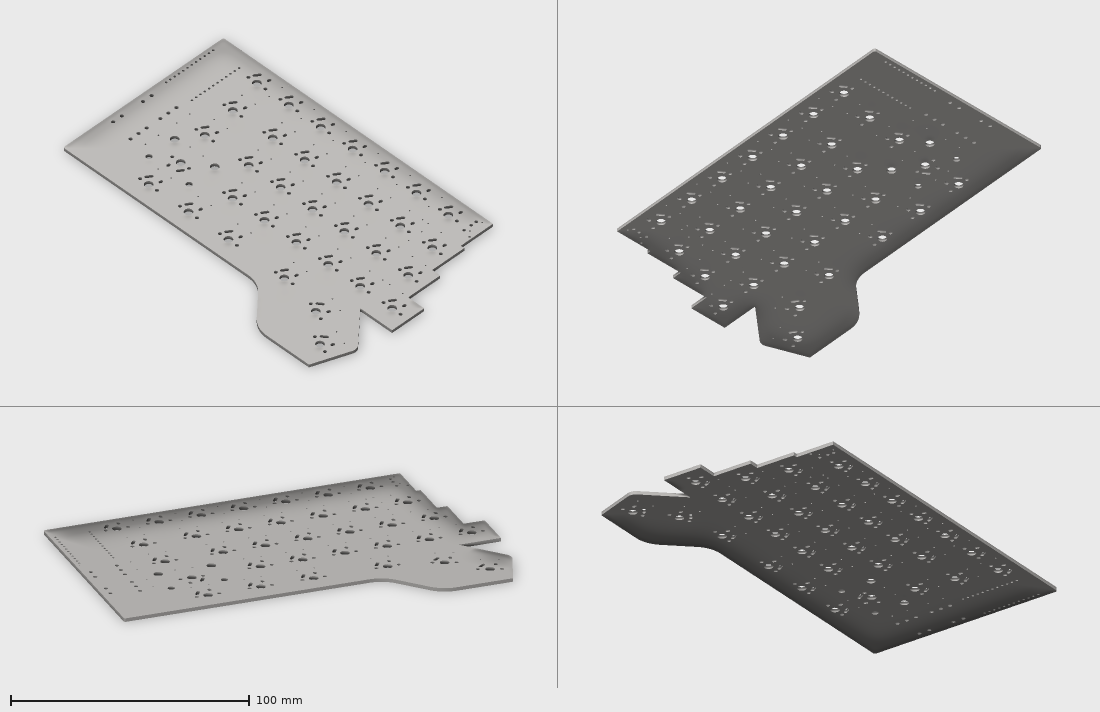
import cadquery as cq
import math


BOARD_WIDTH = 176.7
BOARD_DEPTH = 115.5
BOARD_THICKNESS = 1.6
NOTCH_ROWS = 4
NOTCH_DEPTH = 76.0
KEY_PITCH = NOTCH_DEPTH / NOTCH_ROWS
HALF_KEY = KEY_PITCH / 2
MAIN_DEPTH = NOTCH_DEPTH + KEY_PITCH
REAR_EDGE_RIGHT = 160.5
LEFT_CORNER_RADIUS = 0.9

NOTCH_X = 157.8
THUMB_TIP = (174.8, -94.4)
THUMB_TIP_RADIUS = 4.0
FRONT_SLOPE_REAR_X = 116.5
FRONT_SLOPE_FRONT_X = 135.5
FRONT_SLOPE_RADIUS = 14.1

KEY_COLUMNS = (
    (0, 1, 2, 3, 4, 5, 6),
    (0.25, 1.5, 2.5, 3.5, 4.5, 5.5, 6.5),
    (0.375, 1.75, 2.75, 3.75, 4.75, 5.75, 6.75),
    (2.25, 3.25, 4.25, 5.25, 6.25, 7.25),
    (0.625, 1.875, 3.125, 4.875),
)
WIDE_KEY_ROW = 3
WIDE_KEY_COLUMN = 0.625
WIDE_KEY_ANGLE = 180.0
LONGEST_ROW = 3
FIRST_COLUMN_X = BOARD_WIDTH - (KEY_COLUMNS[LONGEST_ROW][-1] + 0.5) * KEY_PITCH

THUMB_ANGLE = -20.0
THUMB_COLUMN = 6.125
THUMB_DROP = 5.0
THUMB_STAGGER = 6.9

STEM_DIAMETER = 4.0
PEG_DIAMETER = 1.7
PEG_SPACING = 10.0
SLOT_WIDTH = 1.5
LONG_SLOT_CENTER = (-3.4, 3.5)
LONG_SLOT_LENGTH = 3.9
LONG_SLOT_ANGLE = 56.0
SHORT_SLOT_CENTER = (2.5, 4.8)
SHORT_SLOT_LENGTH = 2.1
SHORT_SLOT_ANGLE = 94.0

STABILISER_SPACING = 23.9
STABILISER_REAR_OFFSET = 8.3
STABILISER_REAR_DIAMETER = 4.0
STABILISER_FRONT_OFFSET = 6.9
STABILISER_FRONT_DIAMETER = 3.0

DIODE_DIAMETER = 0.7
DIODE_SPACING = 7.8
REAR_DIODE_COLUMNS = (0.5, 1.5, 2.5, 3.5, 4.5, 5.5)
REAR_DIODE_SHIFT = 1.8
ROW_END_DIODES = ((1, 145.0), (2, 154.6), (3, 160.1))
ROW_ONE_SHIFT = 0.2
UPRIGHT_DIODE_X = 142.8
LEFT_DIODE_X = 23.0
LEFT_DIODE_YS = (-46.7, -65.2)

CONTROLLER_PIN_COUNT = 12
CONTROLLER_PIN_DIAMETER = 1.1
CONTROLLER_X = 2.3
CONTROLLER_LINE_SPACING = 15.4
CONTROLLER_FIRST_Y = -8.3
CONTROLLER_LAST_Y = -36.2

SIDE_SWITCH_YS = (-48.8, -66.5)
SIDE_HOLE_DIAMETER = 1.8
SIDE_LEFT_X = 3.7
SIDE_LEFT_SPACING = 5.1
SIDE_RIGHT_X = 16.3
SIDE_RIGHT_PITCH = 4.8

JACK_PIN_X = 154.6
JACK_PIN_YS = (-4.0, -7.0, -11.3)
JACK_PIN_DIAMETER = 1.5
JACK_SLEEVE_PIN = (159.2, -12.5)
JACK_SLEEVE_DIAMETER = 1.1
JACK_PEG_X = 156.8
JACK_PEG_YS = (-2.7, -9.9)
JACK_PEG_DIAMETER = 0.8

CORNER_REACH = 0.2


def column_x(column):
    return FIRST_COLUMN_X + column * KEY_PITCH


def row_y(row):
    return -(row + 0.5) * KEY_PITCH


def placed(center, offset, angle=0.0):
    """Point at an (x, y) offset from a centre, in axes turned by an angle in degrees."""
    cosine = math.cos(math.radians(angle))
    sine = math.sin(math.radians(angle))
    dx, dy = offset
    return (center[0] + dx * cosine - dy * sine, center[1] + dx * sine + dy * cosine)


def pair(center, spacing, angle=0.0):
    """Two points on either side of a centre, along a line at the angle."""
    return [placed(center, (side * spacing / 2, 0), angle) for side in (-1, 1)]


def round_corners(board, corners, radius):
    for x, y in corners:
        box = cq.selectors.BoxSelector(
            (x - CORNER_REACH, y - CORNER_REACH, 0),
            (x + CORNER_REACH, y + CORNER_REACH, BOARD_THICKNESS),
        )
        board = board.edges("|Z").edges(box).fillet(radius)
    return board


def drill(board, points, diameter):
    return board.cut(cq.Workplane("XY").pushPoints(points).circle(diameter / 2).extrude(BOARD_THICKNESS))


def cut_slots(board, points, length, angle):
    return board.cut(
        cq.Workplane("XY").pushPoints(points).slot2D(length, SLOT_WIDTH, angle).extrude(BOARD_THICKNESS)
    )


row_keys = [(column_x(column), row_y(row)) for row, columns in enumerate(KEY_COLUMNS) for column in columns]
wide_key = (column_x(WIDE_KEY_COLUMN), row_y(WIDE_KEY_ROW))
first_thumb_key = (column_x(THUMB_COLUMN), row_y(len(KEY_COLUMNS) - 1) - THUMB_DROP)
second_thumb_key = placed(first_thumb_key, (KEY_PITCH, -THUMB_STAGGER), THUMB_ANGLE)
thumb_keys = [first_thumb_key, second_thumb_key]


def make_plate():
    """Plate whose right side steps along the rows and then runs round the thumb keys."""
    outline = [(0, 0), (REAR_EDGE_RIGHT, 0), (REAR_EDGE_RIGHT, -KEY_PITCH)]
    for row in range(1, NOTCH_ROWS):
        edge_x = column_x(KEY_COLUMNS[row][-1]) + HALF_KEY
        outline += [(edge_x, -row * KEY_PITCH), (edge_x, -(row + 1) * KEY_PITCH)]

    key_edge_x, key_edge_y = placed(second_thumb_key, (HALF_KEY, 0), THUMB_ANGLE)
    thumb_front_x = key_edge_x + (key_edge_y + BOARD_DEPTH) * math.tan(math.radians(THUMB_ANGLE))
    slope_front = (FRONT_SLOPE_FRONT_X, -BOARD_DEPTH)
    slope_rear = (FRONT_SLOPE_REAR_X, -MAIN_DEPTH)
    front_left = (0, -MAIN_DEPTH)
    outline += [(NOTCH_X, -NOTCH_DEPTH), THUMB_TIP, (thumb_front_x, -BOARD_DEPTH)]
    outline += [slope_front, slope_rear, front_left]

    plate = cq.Workplane("XY").polyline(outline).close().extrude(BOARD_THICKNESS)
    plate = round_corners(plate, [(0, 0), front_left], LEFT_CORNER_RADIUS)
    plate = round_corners(plate, [THUMB_TIP], THUMB_TIP_RADIUS)
    return round_corners(plate, [slope_front, slope_rear], FRONT_SLOPE_RADIUS)


def cut_switches(board, keys, angle=0.0):
    pegs = [point for key in keys for point in pair(key, PEG_SPACING, angle)]
    long_slots = [placed(key, LONG_SLOT_CENTER, angle) for key in keys]
    short_slots = [placed(key, SHORT_SLOT_CENTER, angle) for key in keys]
    board = drill(board, keys, STEM_DIAMETER)
    board = drill(board, pegs, PEG_DIAMETER)
    board = cut_slots(board, long_slots, LONG_SLOT_LENGTH, LONG_SLOT_ANGLE + angle)
    return cut_slots(board, short_slots, SHORT_SLOT_LENGTH, SHORT_SLOT_ANGLE + angle)


def cut_stabiliser(board):
    rear = placed(wide_key, (0, STABILISER_REAR_OFFSET))
    front = placed(wide_key, (0, -STABILISER_FRONT_OFFSET))
    board = drill(board, pair(rear, STABILISER_SPACING), STABILISER_REAR_DIAMETER)
    return drill(board, pair(front, STABILISER_SPACING), STABILISER_FRONT_DIAMETER)


def row_diode_y(row):
    shift = ROW_ONE_SHIFT if row == 1 else 0
    return row_y(row) + HALF_KEY - shift


def cut_diodes(board):
    end_rows = [row for row, _ in ROW_END_DIODES]
    flat = [(x, row_diode_y(row)) for row, x in ROW_END_DIODES]
    flat.append((wide_key[0], row_diode_y(WIDE_KEY_ROW)))
    for row in range(1, len(KEY_COLUMNS)):
        columns = KEY_COLUMNS[row][:-1] if row in end_rows else KEY_COLUMNS[row]
        flat += [(column_x(column), row_diode_y(row)) for column in columns]

    upright = [(column_x(column), row_y(0) + REAR_DIODE_SHIFT) for column in REAR_DIODE_COLUMNS]
    upright.append((UPRIGHT_DIODE_X, row_y(1)))
    upright += [(LEFT_DIODE_X, y) for y in LEFT_DIODE_YS]

    turned = [placed(key, (0, HALF_KEY), THUMB_ANGLE) for key in thumb_keys]

    for centers, angle in ((flat, 0.0), (upright, 90.0), (turned, THUMB_ANGLE)):
        holes = [point for center in centers for point in pair(center, DIODE_SPACING, angle)]
        board = drill(board, holes, DIODE_DIAMETER)
    return board


def cut_controller(board):
    step = (CONTROLLER_LAST_Y - CONTROLLER_FIRST_Y) / (CONTROLLER_PIN_COUNT - 1)
    pins = [
        (x, CONTROLLER_FIRST_Y + index * step)
        for x in (CONTROLLER_X, CONTROLLER_X + CONTROLLER_LINE_SPACING)
        for index in range(CONTROLLER_PIN_COUNT)
    ]
    return drill(board, pins, CONTROLLER_PIN_DIAMETER)


def cut_side_switches(board):
    holes = []
    for y in SIDE_SWITCH_YS:
        holes += pair((SIDE_LEFT_X, y), SIDE_LEFT_SPACING, 90.0)
        holes += [(SIDE_RIGHT_X, y + step * SIDE_RIGHT_PITCH) for step in (-1, 0, 1)]
    return drill(board, holes, SIDE_HOLE_DIAMETER)


def cut_jack(board):
    board = drill(board, [(JACK_PIN_X, y) for y in JACK_PIN_YS], JACK_PIN_DIAMETER)
    board = drill(board, [JACK_SLEEVE_PIN], JACK_SLEEVE_DIAMETER)
    return drill(board, [(JACK_PEG_X, y) for y in JACK_PEG_YS], JACK_PEG_DIAMETER)


board = make_plate()
board = cut_switches(board, row_keys)
board = cut_switches(board, [wide_key], WIDE_KEY_ANGLE)
board = cut_switches(board, thumb_keys, THUMB_ANGLE)
board = cut_stabiliser(board)
board = cut_diodes(board)
board = cut_controller(board)
board = cut_side_switches(board)
board = cut_jack(board)

result = board.solids()